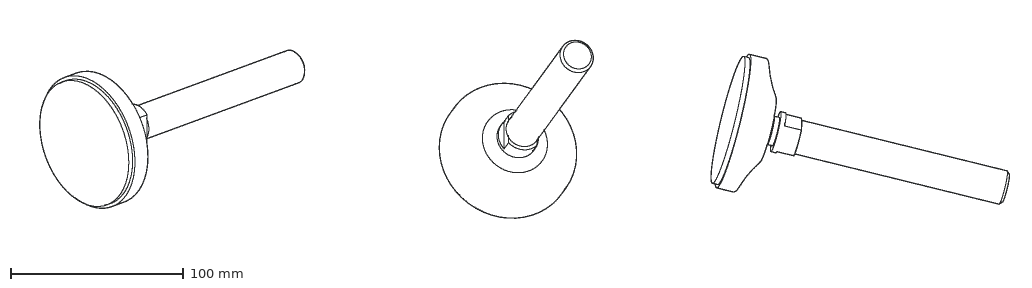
import cadquery as cq

overall_length = 167.0

pad_diameter = 80.0
sole_diameter = 76.0
sole_height = 3.0
rim_top = 12.7
shoulder_radius = 38.9
shoulder_height = 14.2
pad_top_radius = 19.5
pad_height = 23.9

neck_diameter = 17.0
bead_foot_radius = 8.9
bead_radius = 9.4
bead_height = 24.7
bead_top = 25.7
collar_diameter = 24.0
collar_bottom = 28.7
flats_bottom = 31.7
collar_top = 42.0
across_flats = 17.0
shaft_diameter = 20.0
tip_chamfer = 1.7


def make_foot():
    """Revolve the half section of pad and spindle about the Y axis."""
    pad_radius = pad_diameter / 2
    sole_radius = sole_diameter / 2
    neck_radius = neck_diameter / 2
    collar_radius = collar_diameter / 2
    shaft_radius = shaft_diameter / 2
    section = (
        cq.Workplane("XY")
        .lineTo(sole_radius, 0)
        .lineTo(sole_radius, sole_height)
        .lineTo(pad_radius, sole_height)
        .lineTo(pad_radius, rim_top)
        .tangentArcPoint((shoulder_radius, shoulder_height), relative=False)
        .tangentArcPoint((pad_top_radius, pad_height), relative=False)
        .lineTo(bead_foot_radius, pad_height)
        .threePointArc((bead_radius, bead_height), (neck_radius, bead_top))
        .lineTo(neck_radius, collar_bottom)
        .lineTo(collar_radius, collar_bottom)
        .lineTo(collar_radius, collar_top)
        .lineTo(shaft_radius, collar_top)
        .lineTo(shaft_radius, overall_length - tip_chamfer)
        .lineTo(shaft_radius - tip_chamfer, overall_length)
        .lineTo(0, overall_length)
        .close()
    )
    return section.revolve(360, (0, 0, 0), (0, 1, 0))


def cut_wrench_flats(body):
    """Cut two opposite flats on the collar, facing +X and -X."""
    flat_length = collar_top - flats_bottom
    cut_depth = collar_diameter / 2
    for side in (-1, 1):
        cutter = cq.Workplane("XY").box(cut_depth, flat_length, collar_diameter)
        offset_x = side * (across_flats + cut_depth) / 2
        body = body.cut(cutter.translate((offset_x, flats_bottom + flat_length / 2, 0)))
    return body


result = cut_wrench_flats(make_foot())